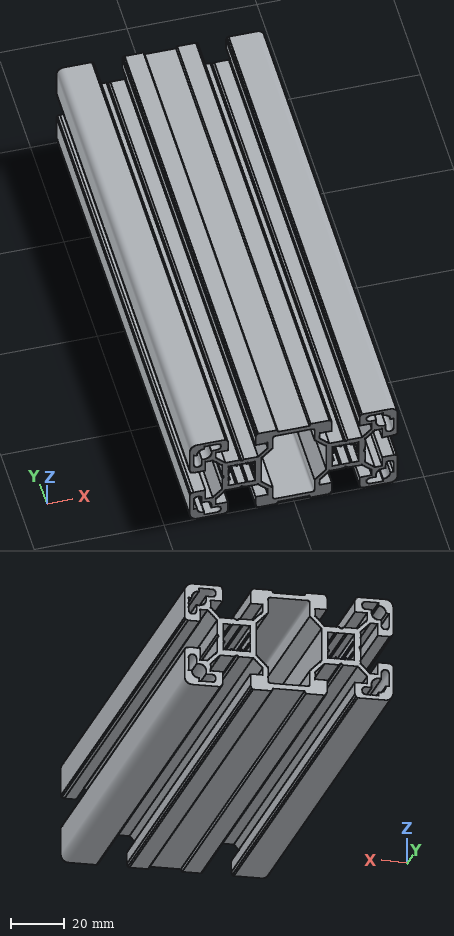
import cadquery as cq

module = 40.0
width = 2 * module
height = module
length = 200.0
outer_radius = 3.0

slot_opening = 10.5
slot_inner_width = 20.0
lip_thickness = 6.0
lip_edge_width = 1.0
lip_edge_depth = 0.5
lip_taper_width = 0.5
lip_taper_depth = 1.5
core_width = 15.0
web_offset = 1.2
groove_width = 1.5
groove_depth = 0.5

bore_width = 10.2
rib_offset = 2.0
rib_width = 0.8
rib_height = 0.5

corner_hole_radius = 2.8
corner_hole_offset = 5.5
arm_wall = 1.5
arm_width = 3.0
arm_end = 12.0

chamber_width = 16.0
chamber_wall = 3.0
chamber_fillet = 1.0
recess_top_width = 13.0
recess_floor_width = 12.0
recess_depth = 1.0

core_centers_x = [-module / 2, module / 2]


def extrude_outline(points):
    """Close an X-Z outline and run it along the full length."""
    return cq.Workplane("XZ").polyline(points).close().extrude(length / 2, both=True)


def round_bar(radius, x, z):
    """Full-length round bar centred at x, z."""
    return cq.Workplane("XZ").center(x, z).circle(radius).extrude(length / 2, both=True)


def box_bar(x_size, z_size, x, z):
    """Full-length rectangular bar centred at x, z."""
    return cq.Workplane("XZ").center(x, z).rect(x_size, z_size).extrude(length / 2, both=True)


def t_slot():
    """T-slot cutter for a module centred on the Y axis, opening toward +Z."""
    face = module / 2
    mouth = slot_opening / 2
    inner = slot_inner_width / 2
    core = core_width / 2
    right_side = [
        (mouth + lip_edge_width, face),
        (mouth + lip_taper_width, face - lip_edge_depth),
        (mouth, face - lip_taper_depth),
        (mouth, face - lip_thickness),
        (inner, face - lip_thickness),
        (inner, inner + web_offset),
        (core - web_offset, core),
        (groove_width / 2, core),
    ]
    left_side = [(-x, z) for x, z in reversed(right_side)]
    return extrude_outline(right_side + [(0, core - groove_depth)] + left_side)


def ribbed_bore():
    """Square bore cutter with two ribs on each wall."""
    bore = box_bar(bore_width, bore_width, 0, 0)
    wall = bore_width / 2
    for angle in (0, 90, 180, 270):
        for x in (-rib_offset, rib_offset):
            base_start = (x - rib_width / 2, wall)
            base_end = (x + rib_width / 2, wall)
            rib = extrude_outline([base_start, base_end, (x, wall - rib_height)])
            bore = bore.cut(rib.rotate((0, 0, 0), (0, 1, 0), angle))
    return bore


def corner_hollow():
    """Hollow cutter for the corner at +X, +Z."""
    corner_x = width / 2
    corner_z = height / 2
    hole_x = corner_x - corner_hole_offset
    hole_z = corner_z - corner_hole_offset
    end_radius = arm_width / 2
    arm_center = arm_wall + end_radius
    end_center = arm_end - end_radius
    arm_length = end_center - corner_hole_offset
    arm_middle = (end_center + corner_hole_offset) / 2

    hollow = round_bar(corner_hole_radius, hole_x, hole_z)
    hollow = hollow.union(box_bar(arm_length, arm_width, corner_x - arm_middle, corner_z - arm_center))
    hollow = hollow.union(round_bar(end_radius, corner_x - end_center, corner_z - arm_center))
    hollow = hollow.union(box_bar(arm_width, arm_length, corner_x - arm_center, corner_z - arm_middle))
    hollow = hollow.union(round_bar(end_radius, corner_x - arm_center, corner_z - end_center))
    return hollow


def central_chamber():
    """Chamber between the two cores, wide at mid height and narrower above and below."""
    side = chamber_width / 2
    top = height / 2 - chamber_wall
    wide = module / 2 - core_width / 2
    wide_z = core_width / 2 - web_offset
    shoulder_z = wide_z + wide - side
    upper_right = [(side, top), (side, shoulder_z), (wide, wide_z)]
    right = upper_right + [(x, -z) for x, z in reversed(upper_right)]
    left = [(-x, z) for x, z in reversed(right)]
    chamber = extrude_outline(right + left)
    return chamber.edges("|Y and (>Z or <Z)").fillet(chamber_fillet)


def face_recess():
    """Shallow recess cutter with sloped sides in the middle of the +Z face."""
    top = height / 2
    floor = top - recess_depth
    half_top = recess_top_width / 2
    half_floor = recess_floor_width / 2
    return extrude_outline([(-half_top, top), (half_top, top), (half_floor, floor), (-half_floor, floor)])


result = cq.Workplane("XY").box(width, length, height).edges("|Y").fillet(outer_radius)

for x in core_centers_x:
    outward = 90 if x > 0 else -90
    for angle in (0, 180, outward):
        slot = t_slot().rotate((0, 0, 0), (0, 1, 0), angle)
        result = result.cut(slot.translate((x, 0, 0)))
    result = result.cut(ribbed_bore().translate((x, 0, 0)))

upper_hollows = corner_hollow().union(corner_hollow().mirror("YZ"))
result = result.cut(upper_hollows).cut(upper_hollows.mirror("XY"))

result = result.cut(central_chamber())
result = result.cut(face_recess()).cut(face_recess().mirror("XY"))